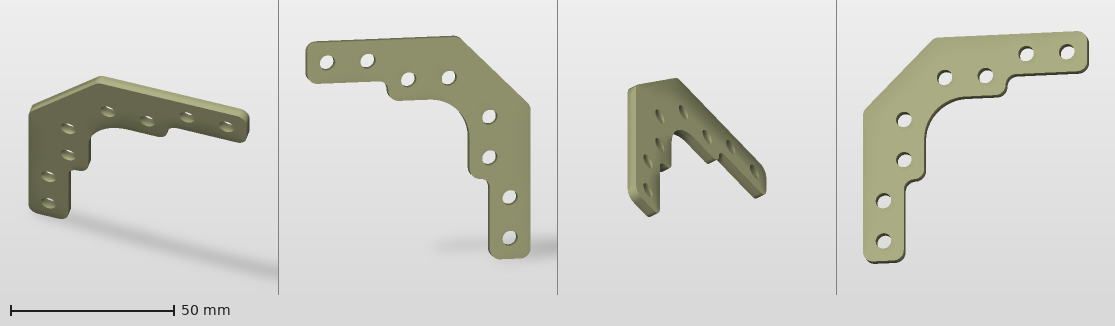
import cadquery as cq

side = 69.85
thickness = 3.15
hole_diameter = 4.8
pitches_per_side = 5.5

pitch = side / pitches_per_side
narrow_width = pitch
wide_width = 1.5 * pitch
step_distance = 2 * pitch
elbow_cut = 1.75 * pitch
elbow_radius = pitch
corner_radius = pitch / 4

step_middle = (narrow_width + wide_width) / 2
bend_offset = corner_radius * 0.5 ** 0.5


def mirrored(point):
    """Reflect a point from the upright leg onto the level leg."""
    x, z = point
    return (side - z, side - x)


step_start = (narrow_width, step_distance - corner_radius)
concave_middle = (step_middle - bend_offset, step_distance - corner_radius + bend_offset)
step_centre = (step_middle, step_distance)
convex_middle = (step_middle + bend_offset, step_distance + corner_radius - bend_offset)
step_end = (wide_width, step_distance + corner_radius)

free_end_corners = [(0, 0), (narrow_width, 0)]
cut_corner = (0, side - elbow_cut)
inner_elbow = (wide_width, side - wide_width)

plate = (
    cq.Workplane("XZ")
    .moveTo(*free_end_corners[0])
    .lineTo(*free_end_corners[1])
    .lineTo(*step_start)
    .threePointArc(concave_middle, step_centre)
    .threePointArc(convex_middle, step_end)
    .lineTo(*inner_elbow)
    .lineTo(*mirrored(step_end))
    .threePointArc(mirrored(convex_middle), mirrored(step_centre))
    .threePointArc(mirrored(concave_middle), mirrored(step_start))
    .lineTo(*mirrored(free_end_corners[1]))
    .lineTo(*mirrored(free_end_corners[0]))
    .lineTo(*mirrored(cut_corner))
    .lineTo(*cut_corner)
    .close()
    .extrude(thickness)
)


def round_corner(body, corner, radius):
    """Fillet the through-thickness edge at one outline corner."""
    x, z = corner
    edge_middle = (x, -thickness / 2, z)
    return body.edges("|Y").edges(cq.NearestToPointSelector(edge_middle)).fillet(radius)


plate = round_corner(plate, inner_elbow, elbow_radius)
for corner in free_end_corners + [cut_corner]:
    plate = round_corner(plate, corner, corner_radius)
    plate = round_corner(plate, mirrored(corner), corner_radius)

leg_holes = [
    (narrow_width / 2, 0.5 * pitch),
    (narrow_width / 2, 1.5 * pitch),
    (pitch, 2.5 * pitch),
    (pitch, 3.5 * pitch),
]
holes = (
    cq.Workplane("XZ")
    .pushPoints(leg_holes + [mirrored(point) for point in leg_holes])
    .circle(hole_diameter / 2)
    .extrude(thickness)
)

result = plate.cut(holes)